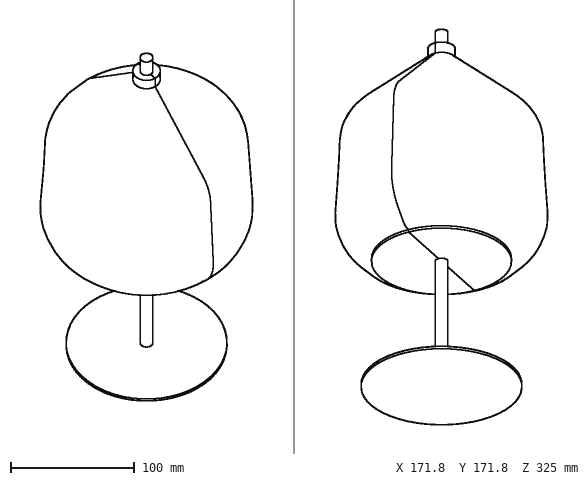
import cadquery as cq

TOTAL_HEIGHT = 325.0

FOOT_RADIUS = 65.0
FOOT_THICKNESS = 2.3
ROD_RADIUS = 5.2

RIM_BOTTOM_Z = 115.0
SHADE_BOTTOM_Z = 117.3
BELLY_Z = 141.5
SHOULDER_Z = 238.0
COLLAR_BOTTOM_Z = 300.5
COLLAR_TOP_Z = 310.0

RIM_RADIUS = 56.5
LOWER_EDGE_RADIUS = 62.7
BELLY_RADIUS = 86.8
SHOULDER_RADIUS = 81.5
COLLAR_RADIUS = 11.0

LOWER_EDGE_FILLET = 9.8
BELLY_FILLET = 39.0
SHOULDER_FILLET = 29.2


def make_stand():
    """Foot disc and full-height rod as one solid."""
    foot = cq.Workplane("XY").circle(FOOT_RADIUS).extrude(FOOT_THICKNESS)
    rod = cq.Workplane("XY").circle(ROD_RADIUS).extrude(TOTAL_HEIGHT)
    return foot.union(rod)


def round_corner(shade, radius, height, fillet):
    """Fillet the circular edge where two cones of the shade meet."""
    corner = cq.selectors.BoxSelector(
        (-radius - 3.2, -radius - 3.2, height - 0.3),
        (radius + 3.2, radius + 3.2, height + 0.3),
    )
    return shade.edges(corner).edges("%CIRCLE").fillet(fillet)


def make_shade():
    """Whole shade with its bottom rim and collar, bored for the rod."""
    body = (
        cq.Workplane("XZ")
        .moveTo(0, SHADE_BOTTOM_Z)
        .lineTo(LOWER_EDGE_RADIUS, SHADE_BOTTOM_Z)
        .lineTo(BELLY_RADIUS, BELLY_Z)
        .lineTo(SHOULDER_RADIUS, SHOULDER_Z)
        .lineTo(COLLAR_RADIUS, COLLAR_BOTTOM_Z)
        .lineTo(0, COLLAR_BOTTOM_Z)
        .close()
        .revolve(360, (0, 0, 0), (0, 1, 0))
    )
    body = round_corner(body, BELLY_RADIUS, BELLY_Z, BELLY_FILLET)
    body = round_corner(body, SHOULDER_RADIUS, SHOULDER_Z, SHOULDER_FILLET)
    body = round_corner(body, LOWER_EDGE_RADIUS, SHADE_BOTTOM_Z, LOWER_EDGE_FILLET)

    rim = (
        cq.Workplane("XY", origin=(0, 0, RIM_BOTTOM_Z))
        .circle(RIM_RADIUS)
        .extrude(SHADE_BOTTOM_Z - RIM_BOTTOM_Z)
    )
    collar = (
        cq.Workplane("XY", origin=(0, 0, COLLAR_BOTTOM_Z))
        .circle(COLLAR_RADIUS)
        .extrude(COLLAR_TOP_Z - COLLAR_BOTTOM_Z)
    )
    bore = cq.Workplane("XY").circle(ROD_RADIUS).extrude(TOTAL_HEIGHT)
    return body.union(rim).union(collar).cut(bore)


def make_shade_half(shade, side):
    """Half of the shade on one side of the XZ plane; side is -1 or +1 along Y."""
    half_space = cq.Workplane("XY").box(
        2 * BELLY_RADIUS, BELLY_RADIUS, TOTAL_HEIGHT, centered=(True, True, False)
    ).translate((0, side * BELLY_RADIUS / 2, 0))
    return shade.intersect(half_space)


stand = make_stand()
whole_shade = make_shade()
shade_halves = [make_shade_half(whole_shade, side) for side in (-1, 1)]

result = cq.Compound.makeCompound([
    stand.val(),
    *[solid for half in shade_halves for solid in half.solids().vals()],
])